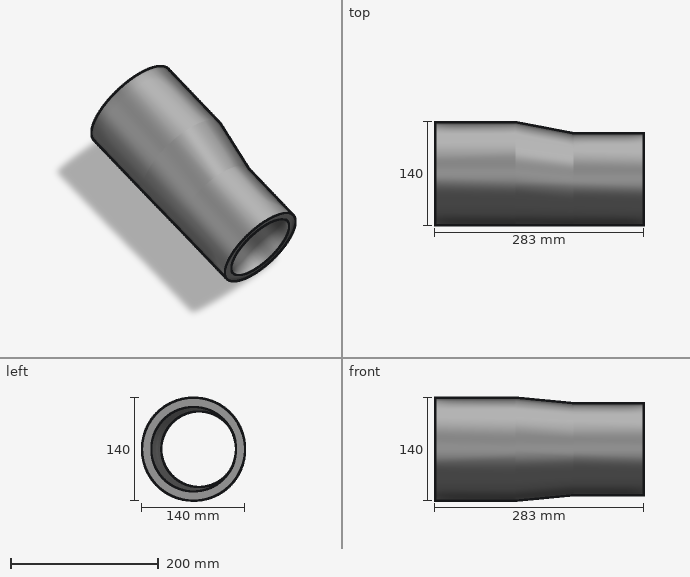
import cadquery as cq

total_length = 283.0
large_length = 109.5
taper_length = 78.0
small_length = total_length - large_length - taper_length

large_outer = 140.0
large_bore = 114.5
small_outer = 125.0
small_bore = 102.2

small_axis_y = -(large_outer - small_outer) / 2
taper_start = large_length
taper_end = large_length + taper_length


def reducer_body(large_diameter, small_diameter):
    """Solid made of the large cylinder, eccentric taper and small cylinder."""
    large_end = cq.Workplane("YZ").circle(large_diameter / 2).extrude(large_length)
    taper = (
        cq.Workplane("YZ", origin=(taper_start, 0, 0))
        .circle(large_diameter / 2)
        .workplane(offset=taper_length)
        .center(small_axis_y, 0)
        .circle(small_diameter / 2)
        .loft(ruled=True)
    )
    small_end = (
        cq.Workplane("YZ", origin=(taper_end, small_axis_y, 0))
        .circle(small_diameter / 2)
        .extrude(small_length)
    )
    return large_end.union(taper).union(small_end)


result = reducer_body(large_outer, small_outer).cut(reducer_body(large_bore, small_bore))